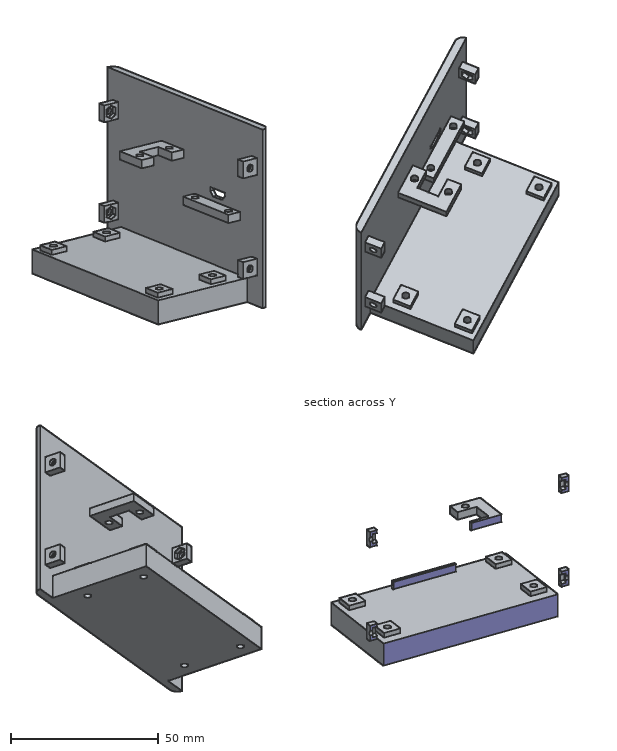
import cadquery as cq
import math

PLATE_WIDTH = 85.0
PLATE_HEIGHT = 64.0
PLATE_THICKNESS = 3.0

HOLE_DIAMETER = 2.5

BASE_WIDTH = 69.1
BASE_DEPTH = 41.5 - PLATE_THICKNESS
BASE_HEIGHT = 8.7
BASE_CENTER_X = 42.0

PAD_SIZE = 6.5
PAD_HEIGHT = 1.8
PAD_SPACING_X = 58.0
PAD_SPACING_Y = 23.0
PAD_FRONT_INSET = 4.85

TAB_THICKNESS = 2.9
TAB_SIZE = 6.0
TAB_INSET = 3.1
TAB_SPACING_Z = 36.0

NUT_ACROSS_FLATS = 4.0
NUT_DEPTH = 1.6

SHELF_THICKNESS = 3.0

BRACKET_LEFT_X = 29.75
BRACKET_BOTTOM_Z = 42.5
BRACKET_WIDTH = 12.0
BRACKET_DEPTH = 18.1
BRACKET_SPINE = 4.5
BRACKET_ARM = 5.1
BRACKET_HOLE_X = 37.2
BRACKET_HOLE_SPACING = 12.7

BAR_CENTER_X = 60.2
BAR_BOTTOM_Z = 28.3
BAR_WIDTH = 24.8
BAR_DEPTH = 5.0
BAR_HOLE_SPACING = 18.2
BAR_HOLE_FROM_PLATE = 2.4

WINDOW_WIDTH = 7.9
WINDOW_HEIGHT = 3.0
WINDOW_GAP = 1.6
WINDOW_CORNER = 1.6

RECESS_WALL = 1.5
RECESS_MARGIN = 2.0


def block(x, y, z, width, depth, height):
    """Box given by its lowest corner and its sizes along X, Y and Z."""
    return cq.Workplane("XY").box(width, depth, height, centered=False).translate((x, y, z))


def drill_upward(body, points, bottom_z, depth):
    """Cut vertical screw holes upward from bottom_z."""
    holes = (
        cq.Workplane("XY", origin=(0, 0, bottom_z))
        .pushPoints(points)
        .circle(HOLE_DIAMETER / 2)
        .extrude(depth)
    )
    return body.cut(holes)


def make_plate():
    """Plate with its two upright back edges rounded over the full thickness."""
    radius = PLATE_THICKNESS
    outline = (
        cq.Workplane("XY")
        .lineTo(PLATE_WIDTH, 0)
        .radiusArc((PLATE_WIDTH - radius, PLATE_THICKNESS), -radius)
        .lineTo(radius, PLATE_THICKNESS)
        .radiusArc((0, 0), -radius)
        .close()
    )
    return outline.extrude(PLATE_HEIGHT)


def make_base():
    """Base block with four drilled pads."""
    base = block(BASE_CENTER_X - BASE_WIDTH / 2, -BASE_DEPTH, 0, BASE_WIDTH, BASE_DEPTH, BASE_HEIGHT)
    front_y = -BASE_DEPTH + PAD_FRONT_INSET
    centers = [
        (BASE_CENTER_X + side * PAD_SPACING_X / 2, y)
        for side in (-1, 1)
        for y in (front_y, front_y + PAD_SPACING_Y)
    ]
    for x, y in centers:
        pad = block(x - PAD_SIZE / 2, y - PAD_SIZE / 2, BASE_HEIGHT, PAD_SIZE, PAD_SIZE, PAD_HEIGHT)
        base = base.union(pad)
    return drill_upward(base, centers, 0, BASE_HEIGHT + PAD_HEIGHT)


def make_left_tab(center_z):
    """Tab at the left end of the plate, drilled along X, with a nut pocket in its inner face."""
    inner_x = TAB_INSET + TAB_THICKNESS
    center_y = -TAB_SIZE / 2
    tab = block(TAB_INSET, -TAB_SIZE, center_z - TAB_SIZE / 2, TAB_THICKNESS, TAB_SIZE, TAB_SIZE)
    hole = (
        cq.Workplane("YZ", origin=(TAB_INSET, center_y, center_z))
        .circle(HOLE_DIAMETER / 2)
        .extrude(TAB_THICKNESS)
    )
    across_corners = NUT_ACROSS_FLATS / math.cos(math.pi / 6)
    nut = (
        cq.Workplane("YZ", origin=(inner_x, center_y, center_z))
        .transformed(rotate=(0, 0, 90))
        .polygon(6, across_corners)
        .extrude(-NUT_DEPTH)
    )
    return tab.cut(hole).cut(nut)


def make_bracket():
    """C-shaped shelf with one hole in each arm."""
    bracket = block(
        BRACKET_LEFT_X, -BRACKET_DEPTH, BRACKET_BOTTOM_Z, BRACKET_WIDTH, BRACKET_DEPTH, SHELF_THICKNESS
    )
    notch = block(
        BRACKET_LEFT_X + BRACKET_SPINE,
        -BRACKET_DEPTH + BRACKET_ARM,
        BRACKET_BOTTOM_Z,
        BRACKET_WIDTH - BRACKET_SPINE,
        BRACKET_DEPTH - 2 * BRACKET_ARM,
        SHELF_THICKNESS,
    )
    holes = [(BRACKET_HOLE_X, (-BRACKET_DEPTH + side * BRACKET_HOLE_SPACING) / 2) for side in (-1, 1)]
    return drill_upward(bracket.cut(notch), holes, BRACKET_BOTTOM_Z, SHELF_THICKNESS)


def make_bar():
    """Narrow straight shelf with a hole near each end."""
    bar = block(
        BAR_CENTER_X - BAR_WIDTH / 2, -BAR_DEPTH, BAR_BOTTOM_Z, BAR_WIDTH, BAR_DEPTH, SHELF_THICKNESS
    )
    holes = [(BAR_CENTER_X + side * BAR_HOLE_SPACING / 2, -BAR_HOLE_FROM_PLATE) for side in (-1, 1)]
    return drill_upward(bar, holes, BAR_BOTTOM_Z, SHELF_THICKNESS)


def make_window():
    """Cutter for the connector window, with its two lower corners cut off, and its rear recess."""
    left_x = BAR_CENTER_X - WINDOW_WIDTH / 2
    bottom_z = BAR_BOTTOM_Z + SHELF_THICKNESS + WINDOW_GAP
    window = block(left_x, 0, bottom_z, WINDOW_WIDTH, PLATE_THICKNESS, WINDOW_HEIGHT)
    window = window.edges("|Y and <Z").chamfer(WINDOW_CORNER)
    recess = block(
        left_x - RECESS_MARGIN,
        RECESS_WALL,
        bottom_z - RECESS_MARGIN,
        WINDOW_WIDTH + 2 * RECESS_MARGIN,
        PLATE_THICKNESS - RECESS_WALL,
        WINDOW_HEIGHT + 2 * RECESS_MARGIN,
    )
    return window.union(recess)


result = make_plate().cut(make_window())
result = result.union(make_base()).union(make_bracket()).union(make_bar())
for side in (-1, 1):
    left_tab = make_left_tab((PLATE_HEIGHT + side * TAB_SPACING_Z) / 2)
    right_tab = left_tab.mirror("YZ", (PLATE_WIDTH / 2, 0, 0))
    result = result.union(left_tab).union(right_tab)